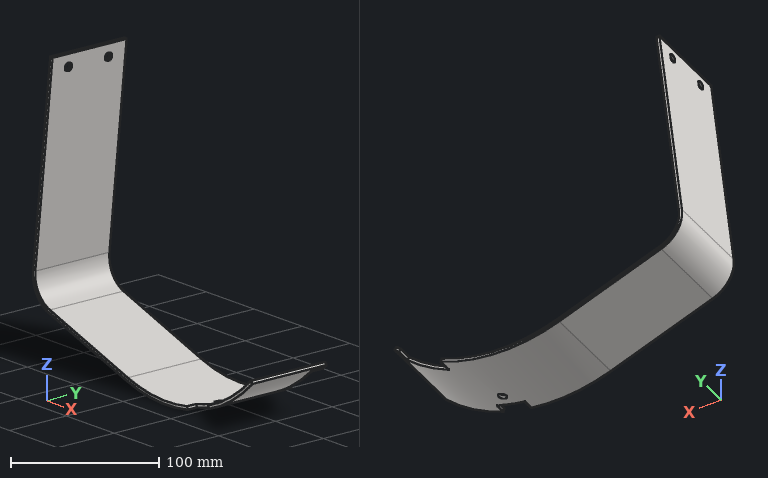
import cadquery as cq
import math

width = 65.3
thickness = 2.5

wall_lean = 6.6
wall_length = 156.0
bend_outer_radius = 25.0
leg_slope = 19.1
leg_length = 86.0
lip_outer_radius = 127.5
lip_end_angle = 44.6

hole_diameter = 6.0
wall_hole_spacing = 35.3
wall_hole_from_top = 9.9
lip_hole_from_front = 18.5

front_notch_centre = 15.0
front_notch_span = 10.4
front_notch_depth = 8.2
back_notch_start = 24.5
back_notch_end = 42.4
back_notch_depth = 10.5

cut_margin = 2.3

bend_inner_radius = bend_outer_radius - thickness
lip_inner_radius = lip_outer_radius - thickness


def offset(point, angle, distance):
    """Move from an XZ point along a direction measured from -Z towards +X."""
    turn = math.radians(angle)
    return (point[0] + distance * math.sin(turn), point[1] - distance * math.cos(turn))


bend_centre = (0, 0)
wall_normal = -90 - wall_lean
leg_normal = -leg_slope
bend_middle = (wall_normal + leg_normal) / 2
lip_middle = (leg_normal + lip_end_angle) / 2
wall_up = wall_normal - 90
leg_along = leg_normal + 90

leg_end = offset(offset(bend_centre, leg_normal, bend_outer_radius), leg_along, leg_length)
lip_centre = offset(leg_end, leg_normal, -lip_outer_radius)


def wall_point(height, depth):
    """Point on the wall: height above the bend, depth inward from the outer face."""
    foot = offset(bend_centre, wall_normal, bend_outer_radius - depth)
    return offset(foot, wall_up, height)


def make_strip():
    profile = (
        cq.Workplane("XZ")
        .moveTo(*wall_point(wall_length, 0))
        .lineTo(*wall_point(0, 0))
        .threePointArc(
            offset(bend_centre, bend_middle, bend_outer_radius),
            offset(bend_centre, leg_normal, bend_outer_radius),
        )
        .lineTo(*leg_end)
        .threePointArc(
            offset(lip_centre, lip_middle, lip_outer_radius),
            offset(lip_centre, lip_end_angle, lip_outer_radius),
        )
        .lineTo(*offset(lip_centre, lip_end_angle, lip_inner_radius))
        .threePointArc(
            offset(lip_centre, lip_middle, lip_inner_radius),
            offset(lip_centre, leg_normal, lip_inner_radius),
        )
        .lineTo(*offset(bend_centre, leg_normal, bend_inner_radius))
        .threePointArc(
            offset(bend_centre, bend_middle, bend_inner_radius),
            wall_point(0, thickness),
        )
        .lineTo(*wall_point(wall_length, thickness))
        .close()
    )
    return profile.extrude(width / 2, both=True)


def hole_cutter(outer_point, normal, y):
    """Cylinder through the sheet along its outward normal."""
    start = offset(outer_point, normal, cut_margin)
    inward = offset((0, 0), normal, -1)
    return cq.Workplane(
        cq.Solid.makeCylinder(
            hole_diameter / 2,
            thickness + 2 * cut_margin,
            cq.Vector(start[0], y, start[1]),
            cq.Vector(inward[0], 0, inward[1]),
        )
    )


def notch_cutter(start_angle, end_angle, y_low, y_high):
    """Block with radial ends, cutting through the lip between two angles."""
    inner = lip_inner_radius - cut_margin
    outer = lip_outer_radius + cut_margin
    return (
        cq.Workplane("XZ", origin=(0, y_high, 0))
        .polyline([
            offset(lip_centre, start_angle, inner),
            offset(lip_centre, start_angle, outer),
            offset(lip_centre, end_angle, outer),
            offset(lip_centre, end_angle, inner),
        ])
        .close()
        .extrude(y_high - y_low)
    )


result = make_strip()

for side in (-1, 1):
    hole_point = wall_point(wall_length - wall_hole_from_top, 0)
    result = result.cut(hole_cutter(hole_point, wall_normal, side * wall_hole_spacing / 2))

lip_hole_point = offset(lip_centre, front_notch_centre, lip_outer_radius)
result = result.cut(
    hole_cutter(lip_hole_point, front_notch_centre, lip_hole_from_front - width / 2)
)

front_notch = notch_cutter(
    front_notch_centre - front_notch_span / 2,
    front_notch_centre + front_notch_span / 2,
    -width / 2 - cut_margin,
    -width / 2 + front_notch_depth,
)
back_notch = notch_cutter(
    back_notch_start,
    back_notch_end,
    width / 2 - back_notch_depth,
    width / 2 + cut_margin,
)
result = result.cut(front_notch).cut(back_notch)